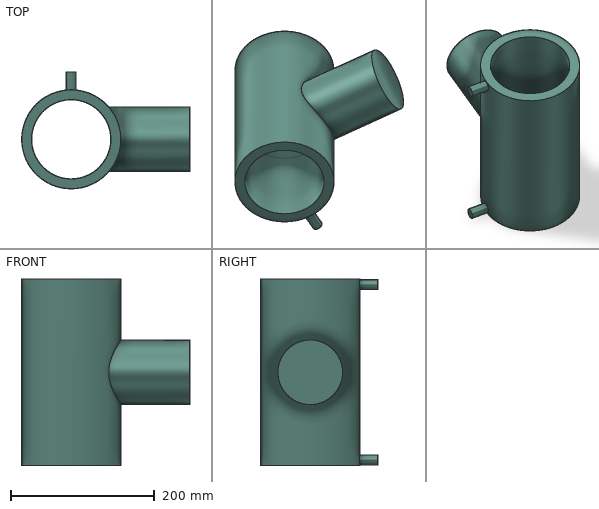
import cadquery as cq

sleeve_length = 260.0
bore_diameter = 110.0
wall_thickness = 14.0
sleeve_diameter = bore_diameter + 2 * wall_thickness

branch_diameter = 90.0
branch_projection = 96.0

pin_diameter = 14.0
pin_projection = 25.0
pin_end_margin = 1.0


def make_sleeve():
    return cq.Workplane("XY").circle(sleeve_diameter / 2).extrude(sleeve_length / 2, both=True)


def make_branch():
    """Solid round branch running from the sleeve axis out to its free end."""
    return cq.Workplane("YZ").circle(branch_diameter / 2).extrude(sleeve_diameter / 2 + branch_projection)


def make_pin(height):
    """Round pin at the given height, running from the sleeve axis out along +Y."""
    pin_reach = sleeve_diameter / 2 + pin_projection
    return cq.Workplane("XZ", origin=(0, 0, height)).circle(pin_diameter / 2).extrude(-pin_reach)


def make_bore():
    return cq.Workplane("XY").circle(bore_diameter / 2).extrude(sleeve_length / 2, both=True)


pin_height = sleeve_length / 2 - pin_end_margin - pin_diameter / 2

body = make_sleeve().union(make_branch())
for side in (1, -1):
    body = body.union(make_pin(side * pin_height))

result = body.cut(make_bore())